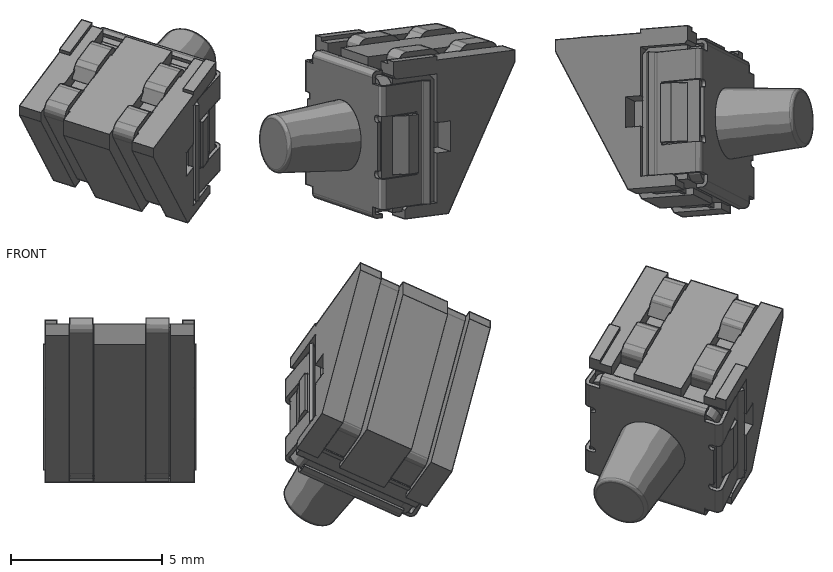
import cadquery as cq
import math


housing_width = 4.94
housing_top = 5.24
housing_front = 4.71
lip_front = 4.27
lip_chamfer = 0.11
rear_angle = math.radians(62)
outer_rear_edge = 4.85
centre_rear_edge = 4.57
side_slab_width = 0.79
centre_slab_width = 1.695

pad_width = 0.385
pad_height = 0.125

cavity_rear = 3.03
cavity_floor = 0.41
cavity_ceiling = 4.77

notch_depth = side_slab_width
notch_length = 0.525
notch_bottom = 2.095
notch_height = 1.03

terminal_width = 0.77
terminal_pitch = 2.53
terminal_offset = -0.012
terminal_middles = [terminal_offset + side * terminal_pitch / 2 for side in (-1, 1)]
terminal_thickness = 0.125
terminal_top = 5.44
terminal_bottom = 0.12
terminal_front = 4.01
toe_bottom = 0.05
bend_radius = 0.34
front_pad_rear = 2.79
rear_pad_front = 1.29
rear_pad_rear = 0.525
dip_floor = 5.01
dip_angle = math.radians(45)
core_rise = 0.35
snug_front = 3.665
snug_rear = 0.48
tight_front = 2.44
tight_rear = 1.65
tight_slot_width = 0.715

axis_height = 2.492
body_size = 4.55
body_step = 4.63
lower_body_height = 4.54
body_front = 5.055
body_corner = 0.455
body_chamfer = 0.205
tooth_height = 1.98
tooth_flat_front = 4.105
tooth_rear = 3.745
tooth_proud = 0.19

sheet = 0.125
cover_front = body_front + sheet
cover_bend = 0.2
cover_wall_height = 4.17
cover_flange_width = 3.78
cover_flange_rear = 4.79
wall_lean_end = 3.56
wall_foot_x = 2.355
flare_start_y = 3.49
flare_bend = 0.09
flare_tip_x = 2.524
flare_tip_y = 3.34
window_height = 2.12
tongue_x = 2.21
relief_width = 0.235
relief_end_x = 2.04

button_tip = 7.85
button_tip_radius = 0.965
button_base_radius = 1.19
button_fillet = 0.12


def box(x_range, y_range, z_range):
    """Box given by its limits along the three axes."""
    size = [high - low for low, high in (x_range, y_range, z_range)]
    corner = (x_range[0], y_range[0], z_range[0])
    return cq.Workplane("XY").box(*size, centered=False).translate(corner)


def mirror_pair(solid):
    """The solid together with its mirror image across X = 0."""
    return solid.union(solid.mirror("YZ"))


def slab(x_low, width, rear_edge):
    """Housing slab with a sloping rear that starts at height rear_edge."""
    return (
        cq.Workplane("YZ", origin=(x_low, 0, 0))
        .moveTo(0, housing_top)
        .lineTo(0, rear_edge)
        .lineTo(rear_edge / math.tan(rear_angle), 0)
        .lineTo(lip_front, 0)
        .lineTo(lip_front, cavity_floor - lip_chamfer)
        .lineTo(lip_front - lip_chamfer, cavity_floor)
        .lineTo(cavity_rear, cavity_floor)
        .lineTo(cavity_rear, cavity_ceiling)
        .lineTo(housing_front - lip_chamfer, cavity_ceiling)
        .lineTo(housing_front, cavity_ceiling + lip_chamfer)
        .lineTo(housing_front, housing_top)
        .close()
        .extrude(width)
    )


def on_bend(centre, angle):
    """Point of a terminal bend, the angle measured from +Z towards -Y."""
    return (centre[0] - bend_radius * math.sin(angle), centre[1] + bend_radius * math.cos(angle))


def terminal_outline():
    """Closed outline around the wrapped terminal strip."""
    bend_height = terminal_top - bend_radius
    front_bend = (terminal_front - bend_radius, bend_height)
    down_bend = (front_pad_rear, bend_height)
    up_bend = (rear_pad_front, bend_height)
    rear_bend = (rear_pad_rear, bend_height)
    rear_turn = math.pi - rear_angle
    low_height = terminal_bottom + bend_radius
    low_bend = (rear_pad_rear + (bend_height - low_height) / math.tan(rear_angle), low_height)

    slope_top_front = on_bend(down_bend, dip_angle)
    slope_top_rear = on_bend(up_bend, -dip_angle)
    slope_run = (slope_top_front[1] - dip_floor) / math.tan(dip_angle)
    return (
        cq.Workplane("YZ")
        .moveTo(terminal_front, toe_bottom)
        .lineTo(terminal_front, bend_height)
        .threePointArc(on_bend(front_bend, -math.pi / 4), on_bend(front_bend, 0))
        .lineTo(*on_bend(down_bend, 0))
        .threePointArc(on_bend(down_bend, dip_angle / 2), slope_top_front)
        .lineTo(slope_top_front[0] - slope_run, dip_floor)
        .lineTo(slope_top_rear[0] + slope_run, dip_floor)
        .lineTo(*slope_top_rear)
        .threePointArc(on_bend(up_bend, -dip_angle / 2), on_bend(up_bend, 0))
        .lineTo(*on_bend(rear_bend, 0))
        .threePointArc(on_bend(rear_bend, rear_turn / 2), on_bend(rear_bend, rear_turn))
        .lineTo(*on_bend(low_bend, rear_turn))
        .threePointArc(on_bend(low_bend, (rear_turn + math.pi) / 2), on_bend(low_bend, math.pi))
        .lineTo(terminal_front - terminal_thickness, terminal_bottom)
        .lineTo(terminal_front - terminal_thickness, toe_bottom)
        .close()
    )


def hook_pocket():
    """Hollow under the two pad ends that hook down towards each other."""
    inner_radius = bend_radius - terminal_thickness
    roof = terminal_top - bend_radius + inner_radius * math.cos(dip_angle)
    front = front_pad_rear - inner_radius * math.sin(dip_angle)
    rear = rear_pad_front + inner_radius * math.sin(dip_angle)
    slope_run = (roof - dip_floor) / math.tan(dip_angle)
    return (
        cq.Workplane("YZ")
        .moveTo(front, cavity_ceiling)
        .lineTo(front, roof)
        .lineTo(front - slope_run, dip_floor)
        .lineTo(rear + slope_run, dip_floor)
        .lineTo(rear, roof)
        .lineTo(rear, cavity_ceiling)
        .close()
        .extrude(tight_slot_width / 2, both=True)
    )


def make_housing():
    """Housing with both terminals wrapped around it."""
    half_width = housing_width / 2
    slab_inner = half_width - side_slab_width
    half_centre = centre_slab_width / 2
    slot_width = slab_inner - half_centre
    slot_middle = half_centre + slot_width / 2

    housing = slab(-half_centre, centre_slab_width, centre_rear_edge)
    housing = housing.union(mirror_pair(slab(slab_inner, side_slab_width, outer_rear_edge)))

    core = terminal_outline().offset2D(-terminal_thickness).extrude(slab_inner, both=True)
    core = core.intersect(
        box((-slab_inner, slab_inner), (0, housing_front), (0, cavity_ceiling + core_rise))
    )
    housing = housing.union(core)

    walls = box(
        (-slab_inner, slab_inner), (snug_rear, snug_front), (cavity_ceiling, housing_top)
    )
    dip_opening = box(
        (slot_middle - tight_slot_width / 2, slot_middle + tight_slot_width / 2),
        (tight_rear, tight_front),
        (dip_floor, housing_top),
    )
    walls = walls.cut(mirror_pair(dip_opening))
    for middle in terminal_middles:
        x_range = (middle - terminal_width / 2, middle + terminal_width / 2)
        for y_range in ((snug_rear, tight_rear), (tight_front, snug_front)):
            walls = walls.cut(box(x_range, y_range, (dip_floor, housing_top)))
    housing = housing.union(walls)

    strip = terminal_outline().extrude(terminal_width / 2, both=True)
    for middle in terminal_middles:
        housing = housing.union(strip.translate((middle, 0, 0)))

    housing = housing.cut(mirror_pair(hook_pocket().translate((slot_middle, 0, 0))))

    cavity = box(
        (-half_width, half_width), (cavity_rear, lip_front), (cavity_floor, cavity_ceiling)
    )
    housing = housing.cut(cavity)

    pad = box(
        (half_width - pad_width, half_width),
        (cavity_rear, housing_front),
        (housing_top, housing_top + pad_height),
    )
    notch = box(
        (half_width - notch_depth, half_width),
        (cavity_rear - notch_length, cavity_rear),
        (notch_bottom, notch_bottom + notch_height),
    )
    return housing.union(mirror_pair(pad)).cut(mirror_pair(notch))


def make_body():
    """Switch body with a snap tooth on each side."""
    half = body_size / 2
    lower_half = lower_body_height / 2
    lower = box(
        (-half, half),
        (cavity_rear, body_step),
        (axis_height - lower_half, axis_height + lower_half),
    )
    lower = lower.faces("<Y").edges("|X").chamfer(body_chamfer)
    upper = box((-half, half), (body_step, body_front), (axis_height - half, axis_height + half))
    upper = upper.edges("|Y").fillet(body_corner)

    tooth_x = half + tooth_proud
    tooth = (
        cq.Workplane("XY", origin=(0, 0, axis_height))
        .moveTo(0, body_step)
        .lineTo(half, body_step)
        .lineTo(tooth_x, tooth_flat_front)
        .lineTo(tooth_x, tooth_rear)
        .lineTo(0, tooth_rear)
        .close()
        .extrude(tooth_height / 2, both=True)
    )
    return lower.union(upper).union(mirror_pair(tooth))


def make_cover():
    """Sheet-metal cover that clips over the teeth of the body."""
    half_width = housing_width / 2

    flare_start = (flare_tip_x - (flare_start_y - flare_tip_y), flare_start_y)
    flare_inner = (flare_tip_x - sheet / math.sqrt(2), flare_tip_y - sheet / math.sqrt(2))
    inner_foot = (wall_foot_x - sheet, flare_start_y - sheet / 2)
    inner_bend = cover_bend - sheet
    half_plate = (
        cq.Workplane("XY", origin=(0, 0, axis_height))
        .moveTo(0, cover_front)
        .lineTo(half_width - cover_bend, cover_front)
        .radiusArc((half_width, cover_front - cover_bend), cover_bend)
        .lineTo(wall_foot_x, wall_lean_end)
        .radiusArc(flare_start, -flare_bend)
        .lineTo(flare_tip_x, flare_tip_y)
        .lineTo(*flare_inner)
        .lineTo(*inner_foot)
        .lineTo(half_width - sheet, cover_front - cover_bend)
        .radiusArc((half_width - cover_bend, body_front), -inner_bend)
        .lineTo(0, body_front)
        .close()
        .extrude(cover_wall_height / 2, both=True)
    )
    window = box(
        (body_size / 2, flare_tip_x),
        (tooth_rear, cover_front),
        (axis_height - window_height / 2, axis_height + window_height / 2),
    )
    half_plate = half_plate.cut(window)

    half_window = window_height / 2
    edge_cut = box(
        (tongue_x, half_width),
        (body_front, cover_front),
        (axis_height - half_window, axis_height + half_window),
    )
    half_plate = half_plate.cut(edge_cut)
    relief_radius = relief_width / 2
    relief_x = relief_end_x + relief_radius
    for side in (-1, 1):
        relief_z = axis_height + side * (half_window - relief_radius)
        relief = box(
            (relief_x, half_width),
            (body_front, cover_front),
            (relief_z - relief_radius, relief_z + relief_radius),
        )
        round_end = (
            cq.Workplane("XZ", origin=(relief_x, cover_front, relief_z))
            .circle(relief_radius)
            .extrude(sheet)
        )
        half_plate = half_plate.cut(relief.union(round_end))
    cover = mirror_pair(half_plate)

    outer = box(
        (-cover_flange_width / 2, cover_flange_width / 2),
        (cover_flange_rear, cover_front),
        (0, 2 * axis_height),
    )
    outer = outer.faces(">Y").edges("|X").fillet(cover_bend)
    inner = box(
        (-cover_flange_width / 2, cover_flange_width / 2),
        (cover_flange_rear, body_front),
        (sheet, 2 * axis_height - sheet),
    )
    inner = inner.faces(">Y").edges("|X").fillet(inner_bend)
    return cover.union(outer.cut(inner))


def make_button():
    """Tapered round button with a rounded tip."""
    return (
        cq.Workplane("XY", origin=(0, 0, axis_height))
        .moveTo(0, body_front)
        .lineTo(button_base_radius, body_front)
        .lineTo(button_tip_radius, button_tip)
        .lineTo(0, button_tip)
        .close()
        .revolve(360, (0, 0, 0), (0, 1, 0))
        .faces(">Y")
        .edges()
        .fillet(button_fillet)
    )


result = make_housing().union(make_body()).union(make_cover()).union(make_button())